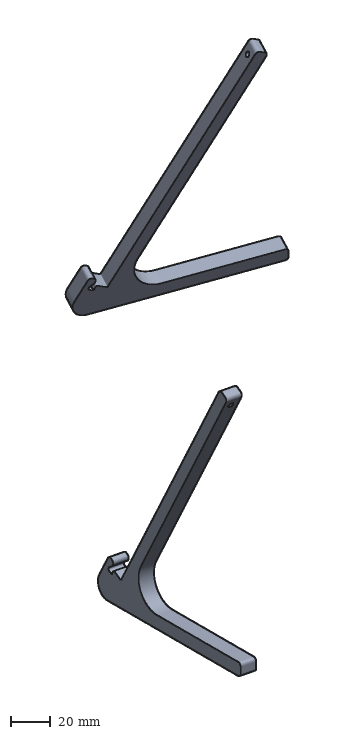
import cadquery as cq
import math

width = 10.0
depth = 116.9
height = 155.55

bar_thickness = 8.0
arm_thickness = 7.0
arm_lean = math.radians(60)
end_radius = 2.0
inner_radius = 15.0
nose_radius = 8.0

hook_reach = 13.45
ledge_rise = 12.2
ledge_width = 6.7
groove_floor = -3.4
groove_wall = 10.15
groove_top = -1.7
tip_inner = 8.7
tip_bottom = 1.0
tip_top = 4.0
ledge_radius = 1.0
heel_radius = 0.5
groove_radius = 0.9
tip_radius = 2.0
tip_bottom_radius = 1.5

hole_diameter = 3.0
hole_drop = 5.0

across = (-math.sin(arm_lean), math.cos(arm_lean))
along = (math.cos(arm_lean), math.sin(arm_lean))

nose_tangent = (
    nose_radius + nose_radius * across[0],
    nose_radius + nose_radius * across[1],
)
ledge_corner = (
    nose_tangent[0] - hook_reach * across[0] + ledge_rise * along[0],
    nose_tangent[1] - hook_reach * across[1] + ledge_rise * along[1],
)


def arm_point(out, up):
    """Point (y, z) at distances out of the arm's front face and up from the ledge."""
    return (
        ledge_corner[0] + out * across[0] + up * along[0],
        ledge_corner[1] + out * across[1] + up * along[1],
    )


def point_at_height(out, z):
    """Point (y, z) on the line parallel to the arm at distance out, at height z."""
    up = (z - arm_point(out, 0)[1]) / along[1]
    return arm_point(out, up)


arm_end_z = height - end_radius + end_radius * (across[1] + along[1])
arm_length = (arm_end_z - ledge_corner[1]) / along[1]

corners = [
    (point_at_height(hook_reach, 0), nose_radius),
    (arm_point(hook_reach, tip_top), tip_radius),
    (arm_point(tip_inner, tip_top), tip_radius),
    (arm_point(tip_inner, tip_bottom), tip_bottom_radius),
    (arm_point(groove_wall, groove_top), groove_radius),
    (arm_point(groove_wall, groove_floor), groove_radius),
    (arm_point(ledge_width, groove_floor), 0),
    (arm_point(ledge_width, 0), ledge_radius),
    (arm_point(0, 0), heel_radius),
    (arm_point(0, arm_length), end_radius),
    (arm_point(-arm_thickness, arm_length), end_radius),
    (point_at_height(-arm_thickness, bar_thickness), inner_radius),
    ((depth, bar_thickness), end_radius),
    ((depth, 0), end_radius),
]


def make_plate():
    """Extrude the profile and round its corners."""
    outline = [point for point, radius in corners]
    plate = cq.Workplane("YZ").polyline(outline).close().extrude(width / 2, both=True)
    for (y, z), radius in corners:
        if radius > 0:
            edge = cq.selectors.NearestToPointSelector((0, y, z))
            plate = plate.edges("|X").edges(edge).fillet(radius)
    return plate


def make_hole():
    """Cylinder through the arm, square to its front face."""
    y, z = point_at_height(0, height - hole_drop)
    face = cq.Plane(origin=(0, y, z), xDir=(1, 0, 0), normal=(0, -across[0], -across[1]))
    return cq.Workplane(face).circle(hole_diameter / 2).extrude(arm_thickness)


result = make_plate().cut(make_hole())